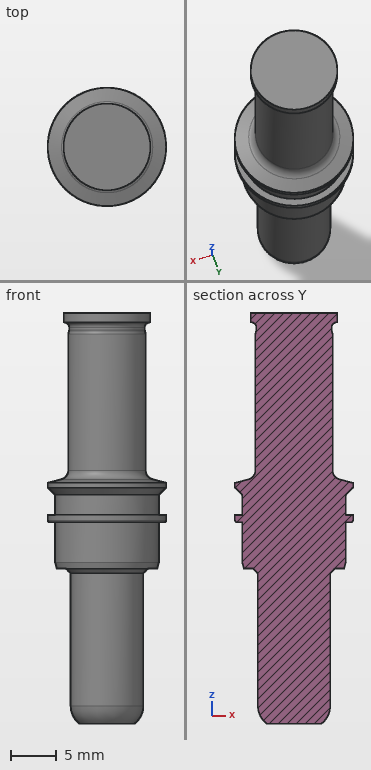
import cadquery as cq
import math

total_length = 45.0
slope = math.radians(15)

head_radius = 9.5 / 2
head_bottom = total_length - 1.03

neck_radius = 8.3 / 2
neck_bottom = total_length - 1.85
undercut_arc_radius = 0.5

shank_radius = 8.5 / 2
shank_bottom = total_length - 17.23
shank_fillet_radius = 1.0

collar_radius = 13.0 / 2
collar_rim_height = 0.53
body_radius = 11.4 / 2

flange_top = total_length - 22.12
flange_height = 0.82
flange_fillet = 0.25

body_chamfer_height = 0.7
body_bottom = total_length - 28.0
pin_cone_height = 0.5

pin_radius = 8.0 / 2
nose_radius = 2.5
nose_height = 2.0


def arc_point(center, radius, angle):
    """Point on a circle in the (radius, height) half plane."""
    return center[0] + radius * math.cos(angle), center[1] + radius * math.sin(angle)


def arc_points(center, radius, start, end):
    """Middle and end point of an arc, ready for threePointArc."""
    return arc_point(center, radius, (start + end) / 2), arc_point(center, radius, end)


OUTWARD = 0.0
UP = math.pi / 2
INWARD = math.pi
DOWN = 3 * math.pi / 2

undercut_center_r = neck_radius + undercut_arc_radius
head_arc_start_r = undercut_center_r - undercut_arc_radius * math.sin(slope)
head_arc_start_z = head_bottom - (head_radius - head_arc_start_r) * math.tan(slope)
head_arc_center = (undercut_center_r, head_arc_start_z - undercut_arc_radius * math.cos(slope))
runout_arc = arc_points((undercut_center_r, neck_bottom), undercut_arc_radius, INWARD, INWARD + slope)
runout_arc_r, runout_arc_z = runout_arc[1]
shank_top = runout_arc_z - (shank_radius - runout_arc_r) / math.tan(slope)

shank_fillet_center = (shank_radius + shank_fillet_radius, shank_bottom)
shank_fillet = arc_points(shank_fillet_center, shank_fillet_radius, INWARD, DOWN - slope)
shank_fillet_r, shank_fillet_z = shank_fillet[1]
collar_rim_top = shank_fillet_z - (collar_radius - shank_fillet_r) * math.tan(slope)
collar_rim_bottom = collar_rim_top - collar_rim_height
collar_bottom = collar_rim_bottom - (collar_radius - body_radius)

flange_bottom = flange_top - flange_height
flange_fillet_center = (collar_radius - flange_fillet, flange_bottom + flange_fillet)

body_bottom_radius = body_radius - body_chamfer_height * math.tan(slope)
nose_center = (pin_radius - nose_radius, nose_height)
nose_sweep = math.asin(nose_height / nose_radius)

profile = (
    cq.Workplane("XZ")
    .moveTo(0, total_length)
    .lineTo(head_radius, total_length)
    .lineTo(head_radius, head_bottom)
    .lineTo(head_arc_start_r, head_arc_start_z)
    .threePointArc(*arc_points(head_arc_center, undercut_arc_radius, UP + slope, INWARD))
    .lineTo(neck_radius, neck_bottom)
    .threePointArc(*runout_arc)
    .lineTo(shank_radius, shank_top)
    .lineTo(shank_radius, shank_bottom)
    .threePointArc(*shank_fillet)
    .lineTo(collar_radius, collar_rim_top)
    .lineTo(collar_radius, collar_rim_bottom)
    .lineTo(body_radius, collar_bottom)
    .lineTo(body_radius, flange_top)
    .lineTo(collar_radius, flange_top)
    .lineTo(collar_radius, flange_bottom + flange_fillet)
    .threePointArc(*arc_points(flange_fillet_center, flange_fillet, OUTWARD, -UP))
    .lineTo(body_radius, flange_bottom)
    .lineTo(body_radius, body_bottom + body_chamfer_height)
    .lineTo(body_bottom_radius, body_bottom)
    .lineTo(pin_radius + pin_cone_height, body_bottom)
    .lineTo(pin_radius, body_bottom - pin_cone_height)
    .lineTo(pin_radius, nose_height)
    .threePointArc(*arc_points(nose_center, nose_radius, OUTWARD, -nose_sweep))
    .lineTo(0, 0)
    .close()
)

result = profile.revolve(360, (0, 0, 0), (0, 1, 0))